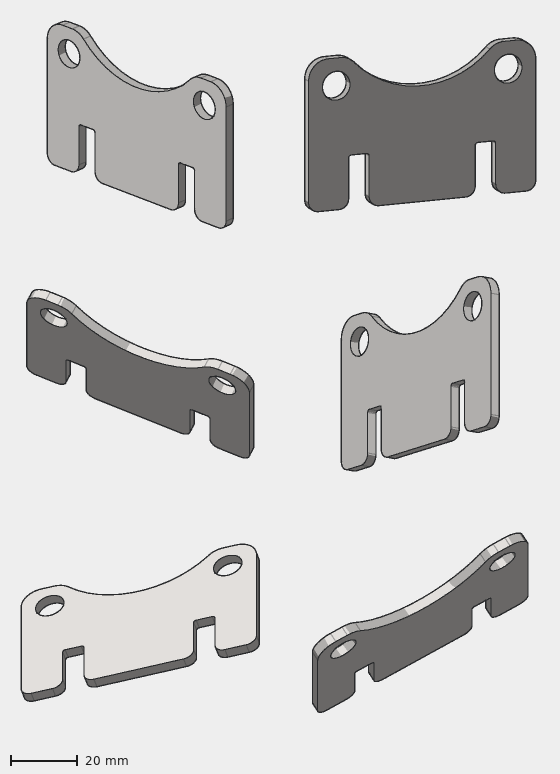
import cadquery as cq
import math

width = 73.66
height = 46.99
thickness = 3.175

top_corner_radius = 6.35
bottom_corner_radius = 3.175
slot_corner_radius = 0.8

scallop_radius = 30.48
scallop_depth = 11.2
blend_radius = 6.35

hole_diameter = 8.89
hole_spacing = 55.7
hole_drop = 8.6

slot_width = 6.6
slot_depth = 16.51
slot_spacing = 41.0

cutter_length = 2 * thickness


def profile_plane():
    """XZ sketch plane at the +Y end of the cutters, which extrude towards -Y."""
    return cq.Workplane("XZ", origin=(0, cutter_length / 2, 0))


def make_blank():
    """Rectangular plate with rounded top and bottom corners."""
    blank = cq.Workplane("XY").box(width, thickness, height, centered=(True, True, False))
    blank = blank.edges("|Y and >Z").fillet(top_corner_radius)
    return blank.edges("|Y and <Z").fillet(bottom_corner_radius)


def make_scallop():
    """Cutter for the scallop: a concave arc tangent to a convex blend at each end."""
    centre_z = height - scallop_depth + scallop_radius
    blend_z = height - blend_radius
    centre_distance = scallop_radius + blend_radius
    blend_x = math.sqrt(centre_distance**2 - (centre_z - blend_z) ** 2)

    tangent_x = blend_x * scallop_radius / centre_distance
    tangent_z = centre_z - (centre_z - blend_z) * scallop_radius / centre_distance

    blend_angle = math.acos((centre_z - blend_z) / centre_distance)
    mid_x = blend_x - blend_radius * math.sin(blend_angle / 2)
    mid_z = blend_z + blend_radius * math.cos(blend_angle / 2)

    return (
        profile_plane()
        .moveTo(-blend_x, height)
        .threePointArc((-mid_x, mid_z), (-tangent_x, tangent_z))
        .threePointArc((0, height - scallop_depth), (tangent_x, tangent_z))
        .threePointArc((mid_x, mid_z), (blend_x, height))
        .close()
        .extrude(cutter_length)
    )


def make_hole(centre_x):
    """Cutter for one round mounting hole."""
    return (
        profile_plane()
        .center(centre_x, height - hole_drop)
        .circle(hole_diameter / 2)
        .extrude(cutter_length)
    )


def make_slot(centre_x):
    """Cutter for one slot, with rounded inner corners and a flared rounded mouth."""
    half_slot = slot_width / 2
    half_mouth = half_slot + bottom_corner_radius
    slot = (
        cq.Workplane("XY")
        .box(slot_width, cutter_length, slot_depth, centered=(True, True, False))
        .edges("|Y and >Z")
        .fillet(slot_corner_radius)
    )
    mouth = (
        profile_plane()
        .moveTo(-half_mouth, 0)
        .radiusArc((-half_slot, bottom_corner_radius), -bottom_corner_radius)
        .lineTo(half_slot, bottom_corner_radius)
        .radiusArc((half_mouth, 0), -bottom_corner_radius)
        .close()
        .extrude(cutter_length)
    )
    return slot.union(mouth).translate((centre_x, 0, 0))


result = make_blank().cut(make_scallop())
for side in (-1, 1):
    result = result.cut(make_hole(side * hole_spacing / 2))
    result = result.cut(make_slot(side * slot_spacing / 2))